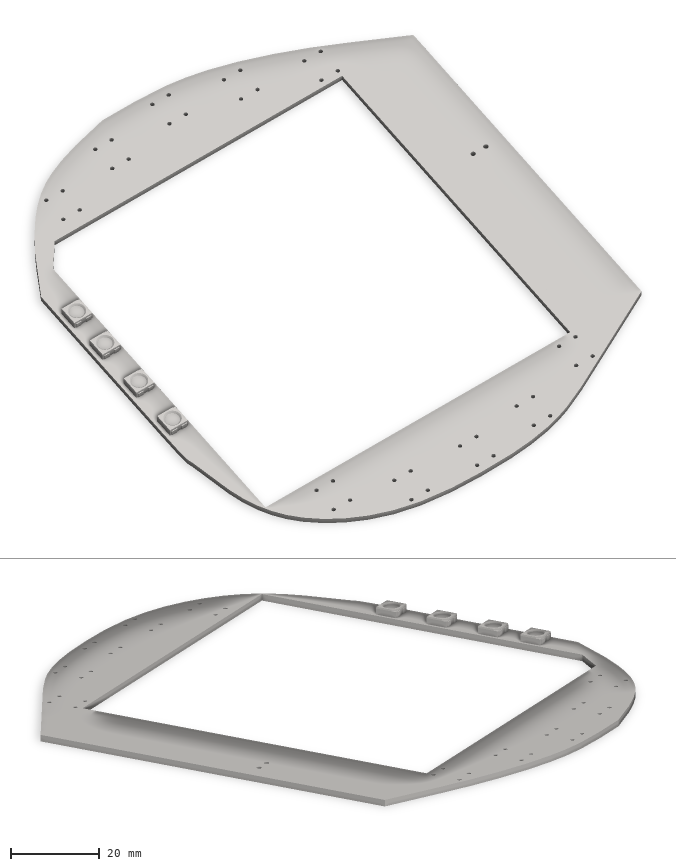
import cadquery as cq

BOARD_THICKNESS = 1.5
TOP_EDGE_Y = 55.5
BOTTOM_EDGE_Y = -55.5
LEFT_X = -65.0
RIGHT_X = 65.0

WINDOW_LEFT_X = -43.7
WINDOW_RIGHT_X = 44.7
WINDOW_TOP_Y = 35.7
WINDOW_BOTTOM_Y = -48.7
WINDOW_CORNER_CUT_X = 6.1
WINDOW_CORNER_CUT_Y = 4.8

TOP_LEFT = (WINDOW_LEFT_X, TOP_EDGE_Y)
TOP_RIGHT = (WINDOW_RIGHT_X, TOP_EDGE_Y)
RIGHT_CURVE_START = (58.5, 29.1)
RIGHT_CURVE = [
    (62.6, 19.0),
    (RIGHT_X, -2.3),
    (61.7, -27.0),
    (51.8, -43.7),
    (37.0, -52.2),
    (25.3, -54.7),
    (13.6, BOTTOM_EDGE_Y),
]
RIGHT_SLOPE = (
    RIGHT_CURVE_START[0] - TOP_RIGHT[0],
    RIGHT_CURVE_START[1] - TOP_RIGHT[1],
)
TOWARDS_LEFT = (-1, 0)
BOTTOM_LEFT = (-32.7, BOTTOM_EDGE_Y)
LOWER_LEFT_CURVE = [
    (-47.3, -46.9),
    (-57.5, -36.9),
    (-62.0, -27.0),
    (LEFT_X, -15.5),
]
LEFT_CURVE_START = (LEFT_X, -6.5)
LEFT_CURVE = [
    (-63.3, 9.4),
    (-58.0, 26.0),
    (-50.5, 42.1),
]
UPWARDS = (0, 1)
LEFT_SLOPE = (TOP_LEFT[0] - LEFT_CURVE[-1][0], TOP_LEFT[1] - LEFT_CURVE[-1][1])

GROUP_HOLE_DIAMETER = 1.0
GROUP_PITCH_X = 6.6
GROUP_PITCH_Y = 4.5
GROUP_CENTERS = [
    (-48.7, 33.5),
    (-55.0, 15.7),
    (-58.7, -1.4),
    (-56.0, -19.2),
    (-50.8, -36.5),
    (49.8, 33.7),
    (57.8, 16.1),
    (59.5, -0.8),
    (58.7, -18.5),
    (50.8, -34.3),
]

PAIR_HOLE_DIAMETER = 1.2
PAIR_X = -8.7
PAIR_Y = (50.5, 47.0)

LAMP_X = (-23.8, -12.9, 0.3, 13.3)
LAMP_Y = -52.0
LAMP_SIDE = 5.1
LAMP_HEIGHT = 1.8
RIM_HEIGHT = 0.4
RIM_INSET = 0.06
CORNER_CUT = 1.2
LENS_FLOOR_DIAMETER = 3.4
LENS_TOP_DIAMETER = 4.2
LENS_DEPTH = 0.4
LEAD_WIDTH = 1.4
LEAD_SPACING = 2.7
LEAD_REACH = 0.2
LEAD_HEIGHT = 1.3


def board_outline():
    return (
        cq.Workplane("XY")
        .moveTo(*TOP_LEFT)
        .lineTo(*TOP_RIGHT)
        .lineTo(*RIGHT_CURVE_START)
        .spline(RIGHT_CURVE, tangents=[RIGHT_SLOPE, TOWARDS_LEFT], includeCurrent=True)
        .lineTo(*BOTTOM_LEFT)
        .spline(LOWER_LEFT_CURVE, includeCurrent=True)
        .lineTo(*LEFT_CURVE_START)
        .spline(LEFT_CURVE, tangents=[UPWARDS, LEFT_SLOPE], includeCurrent=True)
        .close()
    )


def window_cutter():
    return (
        cq.Workplane("XY")
        .moveTo(WINDOW_LEFT_X, WINDOW_TOP_Y)
        .lineTo(WINDOW_RIGHT_X, WINDOW_TOP_Y)
        .lineTo(WINDOW_RIGHT_X, WINDOW_BOTTOM_Y)
        .lineTo(WINDOW_LEFT_X + WINDOW_CORNER_CUT_X, WINDOW_BOTTOM_Y)
        .lineTo(WINDOW_LEFT_X, WINDOW_BOTTOM_Y + WINDOW_CORNER_CUT_Y)
        .close()
        .extrude(BOARD_THICKNESS)
    )


def hole_cutters(centers, diameter):
    return cq.Workplane("XY").pushPoints(centers).circle(diameter / 2).extrude(BOARD_THICKNESS)


def make_board():
    group_holes = [
        (x + side_x * GROUP_PITCH_X / 2, y + side_y * GROUP_PITCH_Y / 2)
        for x, y in GROUP_CENTERS
        for side_x in (-1, 1)
        for side_y in (-1, 1)
    ]
    pair_holes = [(PAIR_X, y) for y in PAIR_Y]
    return (
        board_outline()
        .extrude(BOARD_THICKNESS)
        .cut(window_cutter())
        .cut(hole_cutters(group_holes, GROUP_HOLE_DIAMETER))
        .cut(hole_cutters(pair_holes, PAIR_HOLE_DIAMETER))
    )


def lamp_housing():
    """Square block whose upper rim leans inwards, with its base at Z = 0."""
    return (
        cq.Workplane("XY")
        .rect(LAMP_SIDE, LAMP_SIDE)
        .extrude(LAMP_HEIGHT)
        .faces(">Z")
        .chamfer(RIM_HEIGHT, RIM_INSET)
    )


def lamp_leads():
    """Two leads that cross the block and stand out on its -X and +X sides."""
    return (
        cq.Workplane("XY")
        .pushPoints([(0, -LEAD_SPACING / 2), (0, LEAD_SPACING / 2)])
        .rect(LAMP_SIDE + 2 * LEAD_REACH, LEAD_WIDTH)
        .extrude(LEAD_HEIGHT)
    )


def corner_cutter():
    """Triangular notch in the rim at the (-X, +Y) corner."""
    half = LAMP_SIDE / 2
    return (
        cq.Workplane("XY", origin=(0, 0, LAMP_HEIGHT - RIM_HEIGHT))
        .moveTo(-half, half)
        .lineTo(-half, half - CORNER_CUT)
        .lineTo(-half + CORNER_CUT, half)
        .close()
        .extrude(RIM_HEIGHT)
    )


def lens_cutter():
    """Conical recess in the top face, narrowing to a flat floor."""
    return (
        cq.Workplane("XY", origin=(0, 0, LAMP_HEIGHT - LENS_DEPTH))
        .circle(LENS_FLOOR_DIAMETER / 2)
        .workplane(offset=LENS_DEPTH)
        .circle(LENS_TOP_DIAMETER / 2)
        .loft()
    )


def make_lamp(x):
    return (
        lamp_housing()
        .union(lamp_leads())
        .cut(corner_cutter())
        .cut(lens_cutter())
        .translate((x, LAMP_Y, BOARD_THICKNESS))
    )


board = make_board()
lamps = [make_lamp(x) for x in LAMP_X]

result = cq.Compound.makeCompound([board.val(), *[lamp.val() for lamp in lamps]])